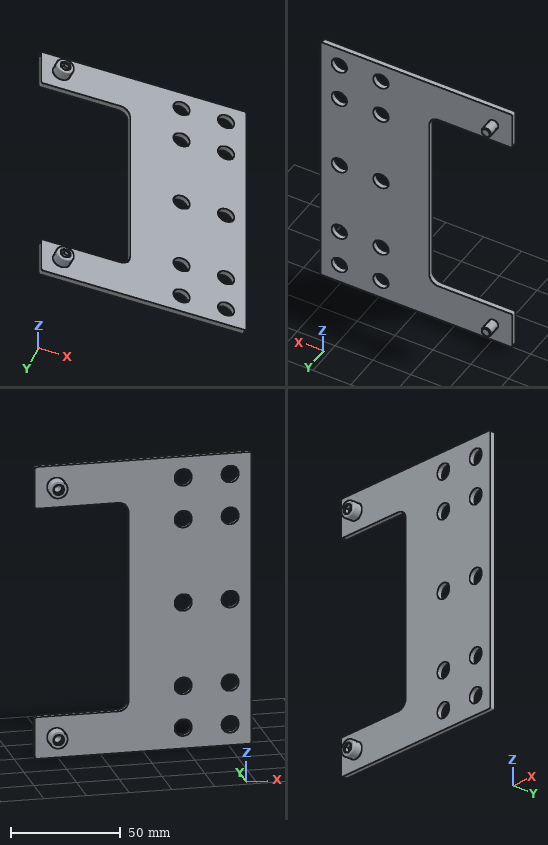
import cadquery as cq
import math

plate_width = 101.5
plate_height = 140.0
plate_thickness = 3.0
plate_corner_radius = 1.0
arm_height = 20.0
notch_depth = 44.0
notch_radius = 5.0

edge_margin = arm_height / 2
hole_diameter = 8.0
hole_column_spacing = 22.0
hole_row_spacing = 20.0
hole_columns = [plate_width - edge_margin - hole_column_spacing, plate_width - edge_margin]
hole_rows = [
    edge_margin,
    edge_margin + hole_row_spacing,
    plate_height / 2,
    plate_height - edge_margin - hole_row_spacing,
    plate_height - edge_margin,
]

screw_positions = [(edge_margin, edge_margin), (edge_margin, plate_height - edge_margin)]
overall_depth = 15.0
shank_diameter = 5.0
shank_chamfer = 0.49
head_diameter = 8.5
head_height = 5.0
head_fillet = 0.49
shank_length = overall_depth - head_height
socket_across_flats = 4.0
socket_depth = 2.5
socket_point_angle = 120.0
socket_rim_diameter = 5.0


def front_plane(y):
    """Sketch plane parallel to XZ at the given Y, with its normal toward -Y."""
    return cq.Workplane("XZ", origin=(0, y, 0))


def make_plate():
    notch_top = plate_height - arm_height
    outline = [
        (0, 0),
        (plate_width, 0),
        (plate_width, plate_height),
        (0, plate_height),
        (0, notch_top),
        (notch_depth, notch_top),
        (notch_depth, arm_height),
        (0, arm_height),
    ]
    notch_corners = cq.selectors.BoxSelector(
        (notch_depth - notch_radius, 0, arm_height - notch_radius),
        (notch_depth + notch_radius, plate_thickness, notch_top + notch_radius),
    )
    plate = (
        front_plane(plate_thickness)
        .polyline(outline)
        .close()
        .extrude(plate_thickness)
        .edges(notch_corners)
        .edges("|Y")
        .fillet(notch_radius)
        .edges("|Y and (<X or >X)")
        .fillet(plate_corner_radius)
    )
    mounting_holes = (
        front_plane(plate_thickness)
        .pushPoints([(x, z) for x in hole_columns for z in hole_rows])
        .circle(hole_diameter / 2)
        .extrude(plate_thickness)
    )
    screw_holes = (
        front_plane(plate_thickness)
        .pushPoints(screw_positions)
        .circle(shank_diameter / 2)
        .extrude(plate_thickness)
    )
    return plate.cut(mounting_holes).cut(screw_holes)


def make_socket():
    """Hexagonal recess with a conical bottom and countersunk rim, opening at the front of the head."""
    across_corners = socket_across_flats / math.cos(math.pi / 6)
    hexagon = (
        front_plane(socket_depth - head_height)
        .transformed(rotate=(0, 0, 90))
        .polygon(6, across_corners)
        .extrude(socket_depth)
    )
    cone_radius = socket_across_flats / 2
    cone_depth = cone_radius / math.tan(math.radians(socket_point_angle / 2))
    cone = cq.Solid.makeCone(
        cone_radius, 0, cone_depth, cq.Vector(0, socket_depth - head_height, 0), cq.Vector(0, 1, 0)
    )
    rim_radius = socket_rim_diameter / 2
    rim = cq.Solid.makeCone(
        rim_radius, 0, rim_radius, cq.Vector(0, -head_height, 0), cq.Vector(0, 1, 0)
    )
    return hexagon.union(cq.Workplane(cone)).union(cq.Workplane(rim))


def make_screw(x, z):
    head = (
        front_plane(0)
        .circle(head_diameter / 2)
        .extrude(head_height)
        .faces("<Y")
        .edges()
        .fillet(head_fillet)
    )
    shank = (
        front_plane(shank_length)
        .circle(shank_diameter / 2)
        .extrude(shank_length)
        .faces(">Y")
        .edges()
        .chamfer(shank_chamfer)
    )
    return head.union(shank).cut(make_socket()).translate((x, 0, z))


plate = make_plate()
screws = [make_screw(x, z) for x, z in screw_positions]

result = cq.Compound.makeCompound([plate.val(), *[screw.val() for screw in screws]])